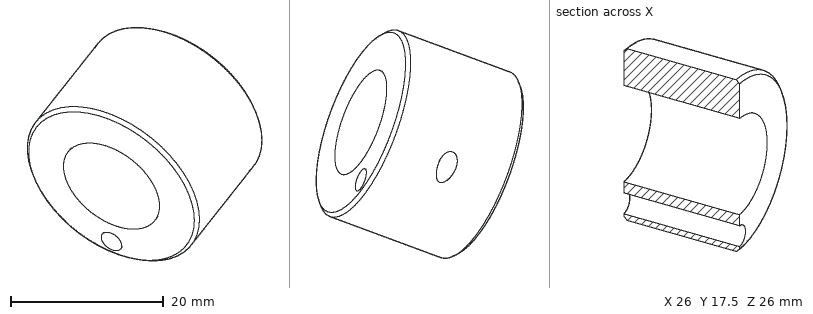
import cadquery as cq

outer_diameter = 26.0
length = 17.5
bore_diameter = 14.5
edge_chamfer = 0.5

axial_hole_diameter = 3.1
hole_drop = 10.5

cross_hole_diameter = 2.5


def cylinder_along_y(diameter):
    """Cylinder spanning the collar length, centred on the bore axis."""
    back_face = cq.Workplane("XZ", origin=(0, length / 2, 0))
    return back_face.circle(diameter / 2).extrude(length)


body = cylinder_along_y(outer_diameter).edges("%CIRCLE").chamfer(edge_chamfer)
bore = cylinder_along_y(bore_diameter)
axial_hole = cylinder_along_y(axial_hole_diameter).translate((0, 0, -hole_drop))
cross_hole = (
    cq.Workplane("YZ", origin=(0, 0, -hole_drop))
    .circle(cross_hole_diameter / 2)
    .extrude(-outer_diameter / 2)
)

result = body.cut(bore).cut(axial_hole).cut(cross_hole)